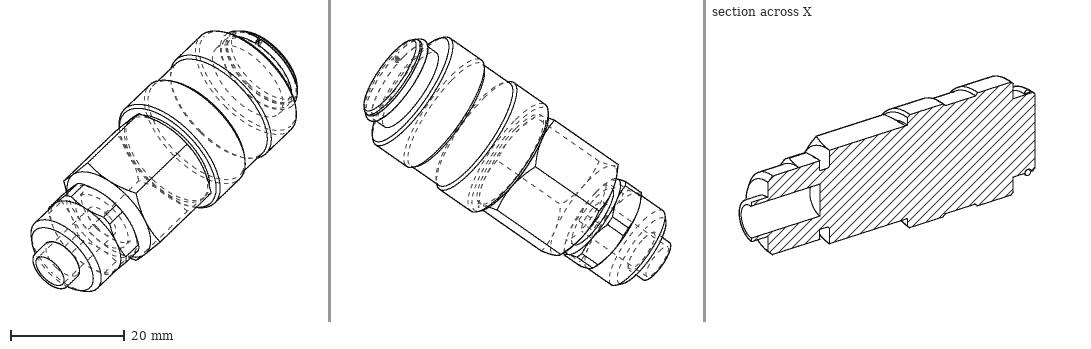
import cadquery as cq
import math


nut_front = 3.5
nut_hex_start = 10.0
nut_back = 14.5
body_hex_start = 16.5
body_hex_end = 32.5
sleeve_start = 33.0
sleeve_end = 55.4
total_length = 60.0

tube_radius = 4.05
tube_bore_radius = 3.2
tube_edge_radius = 0.25
tube_bore_depth = nut_back

nut_radius = 8.0
nut_across_flats = 2 * nut_radius
nut_corner_radius = 8.8
nut_chamfer = 1.0

neck_radius = 6.0
neck_fillet = 0.5

body_across_flats = 19.0
body_corner_radius = body_across_flats / math.sqrt(3)
hex_chamfer_angle = 30.0

collar_radius = 11.5
collar_length = 8.05
collar_chamfer = 0.5
waist_radius = collar_radius - collar_chamfer

socket_radius = 8.0
socket_chamfer = 0.5
ring_wire_radius = 0.6
ring_center_radius = socket_radius
ring_station = 58.5
ring_gap = 0.5


def cylinder(radius, start, end):
    """Solid cylinder on the Y axis between two stations."""
    plane = cq.Workplane("XZ", origin=(0, start, 0))
    return plane.circle(radius).extrude(start - end)


def collar(start):
    """Grip collar with both rims chamfered."""
    return cylinder(collar_radius, start, start + collar_length).edges().chamfer(collar_chamfer)


def hexagon(across_flats, corner_radius, start, end):
    """Hexagonal prism with flats facing +Z and -Z and conically chamfered corners."""
    face_radius = across_flats / 2
    drop = (corner_radius - face_radius) * math.tan(math.radians(hex_chamfer_angle))
    corner_diameter = across_flats / math.cos(math.pi / 6)
    prism = cq.Workplane("XZ", origin=(0, start, 0)).polygon(6, corner_diameter).extrude(start - end)
    envelope = (
        cq.Workplane("XY")
        .moveTo(0, start)
        .lineTo(face_radius, start)
        .lineTo(corner_radius, start + drop)
        .lineTo(corner_radius, end - drop)
        .lineTo(face_radius, end)
        .lineTo(0, end)
        .close()
        .revolve(360, (0, 0, 0), (0, 1, 0))
    )
    return prism.intersect(envelope)


def ring_wire():
    """Closed torus of round wire around the socket."""
    section = cq.Workplane("XY").center(ring_center_radius, ring_station).circle(ring_wire_radius)
    return section.revolve(360, (-ring_center_radius, 0, 0), (-ring_center_radius, 1, 0))


def hose_tube():
    """Short tube with both outer rims rounded."""
    return cylinder(tube_radius, 0, nut_front).edges().fillet(tube_edge_radius)


def clamping_nut():
    """Round nut with a chamfered front rim and a hexagon at the back."""
    barrel = cylinder(nut_radius, nut_front, nut_back).edges("<Y").chamfer(nut_chamfer)
    return barrel.union(hexagon(nut_across_flats, nut_corner_radius, nut_hex_start, nut_back))


def neck():
    """Neck that flares with a concave fillet into the body hexagon."""
    flare_radius = neck_radius + neck_fillet
    flare_start = body_hex_start - neck_fillet
    arc_reach = neck_fillet * math.sqrt(0.5)
    return (
        cq.Workplane("XY")
        .moveTo(0, nut_back)
        .lineTo(neck_radius, nut_back)
        .lineTo(neck_radius, flare_start)
        .threePointArc(
            (flare_radius - arc_reach, flare_start + arc_reach),
            (flare_radius, body_hex_start),
        )
        .lineTo(0, body_hex_start)
        .close()
        .revolve(360, (0, 0, 0), (0, 1, 0))
    )


def snap_ring():
    """Round-wire ring, split at the top by a narrow gap."""
    wire_diameter = 2 * ring_wire_radius
    gap_cutter = cq.Workplane("XY").box(ring_gap, 2 * wire_diameter, 2 * wire_diameter)
    return ring_wire().cut(gap_cutter.translate((0, ring_station, ring_center_radius)))


def coupling_body():
    """Tube, nut, neck, hexagon, grip sleeve and socket end as one solid."""
    body = hose_tube().union(clamping_nut()).union(neck())
    body = body.union(hexagon(body_across_flats, body_corner_radius, body_hex_start, body_hex_end))
    body = body.union(cylinder(body_across_flats / 2, body_hex_end, sleeve_start))
    body = body.union(cylinder(waist_radius, sleeve_start, sleeve_end))
    for collar_start in (sleeve_start, sleeve_end - collar_length):
        body = body.union(collar(collar_start))
    socket = cylinder(socket_radius, sleeve_end, total_length).edges(">Y").chamfer(socket_chamfer)
    body = body.union(socket)
    body = body.cut(cylinder(tube_bore_radius, 0, tube_bore_depth))
    return body.cut(snap_ring())


body = coupling_body().solids()
ring = snap_ring().solids()

result = cq.Compound.makeCompound([body.val(), ring.val()])